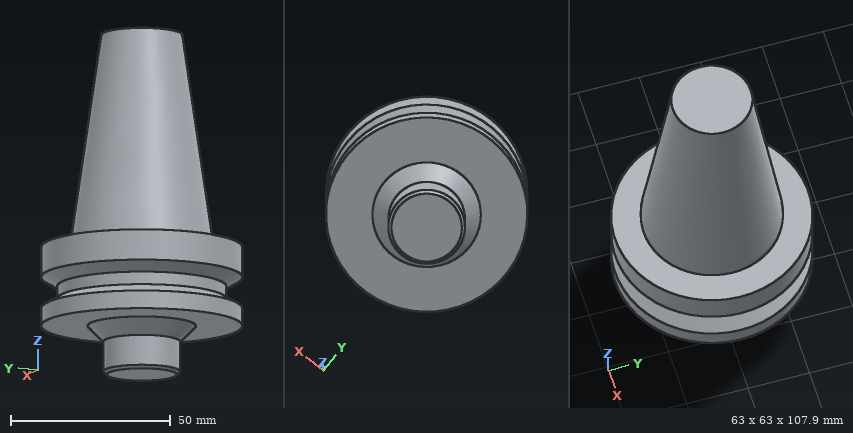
import cadquery as cq

total_length = 107.9

taper_ratio = 7 / 24
gauge_diameter = 44.5
taper_length = 65.4
collar_height = 2.0
taper_tip_diameter = gauge_diameter - taper_length * taper_ratio

flange_diameter = 63.0
flange_height = 25.0
upper_rim_height = 9.6
lower_rim_height = 5.6
groove_diameter = 53.0
groove_side_height = 2.9

nose_diameter = 24.0
nose_chamfer = 1.0
neck_diameter = 33.9
neck_height = 5.0

gauge_z = total_length - taper_length
flange_top_z = gauge_z - collar_height
flange_bottom_z = flange_top_z - flange_height
groove_top_z = flange_top_z - upper_rim_height
groove_bottom_z = flange_bottom_z + lower_rim_height
neck_bottom_z = flange_bottom_z - neck_height

half_section = [
    (0, 0),
    (nose_diameter / 2 - nose_chamfer, 0),
    (nose_diameter / 2, nose_chamfer),
    (nose_diameter / 2, neck_bottom_z),
    (neck_diameter / 2, flange_bottom_z),
    (flange_diameter / 2, flange_bottom_z),
    (flange_diameter / 2, groove_bottom_z),
    (groove_diameter / 2, groove_bottom_z + groove_side_height),
    (groove_diameter / 2, groove_top_z - groove_side_height),
    (flange_diameter / 2, groove_top_z),
    (flange_diameter / 2, flange_top_z),
    (gauge_diameter / 2, flange_top_z),
    (gauge_diameter / 2, gauge_z),
    (taper_tip_diameter / 2, total_length),
    (0, total_length),
]

result = cq.Workplane("XZ").polyline(half_section).close().revolve(360, (0, 0, 0), (0, 1, 0))